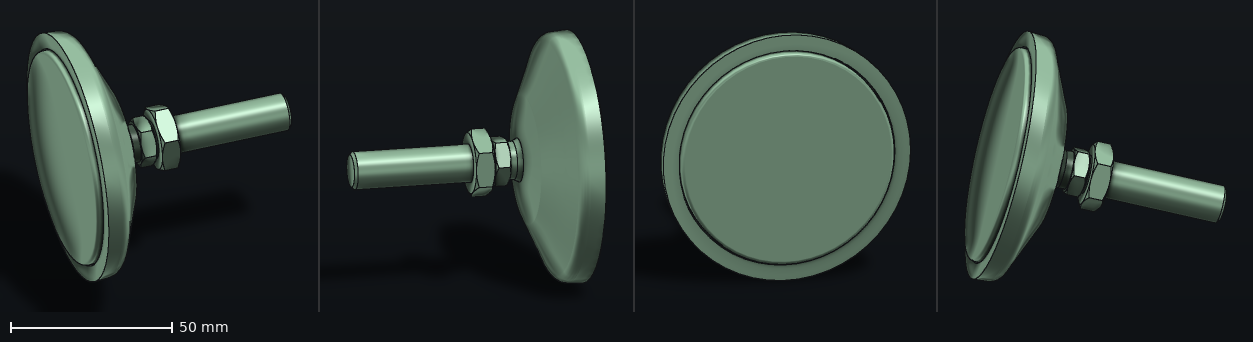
import cadquery as cq
import math

overall_length = 73.7

base_radius = 39.5
base_front = 2.0
rim_back = 6.7
rim_back_radius = 39.2
cone_start = 9.95
cone_start_radius = 36.6
shoulder = 17.8
shoulder_radius = 20.3
shoulder_blend_radius = 1.0
base_back = 20.1

pad_radius = 34.0
pad_edge_radius = 1.0
pad_seat = 3.95
recess_radius = 34.45

stud_radius = 6.0
stud_chamfer = 0.95
stud_seat = 12.0
flare_radius = 6.9
flare_back = 21.7
undercut_radius = 5.6
undercut_back = 29.4
drive_front = 24.0
drive_back = 28.8
drive_flats = 14.0

nut_front = 29.8
nut_thickness = 6.0
nut_flats = 19.0

drive_turn = 0.0
nut_turn = 30.0

hex_chamfer_angle = 30.0


def cylinder(radius, front, back):
    """Cylinder about the Y axis between two Y positions."""
    return cq.Workplane("XZ", origin=(0, front, 0)).circle(radius).extrude(front - back)


def revolve_about_y(outline):
    """Turn a closed (radius, Y) outline about the Y axis."""
    return outline.close().revolve(360, (0, 0, 0), (0, 1, 0))


def chamfered_hexagon(flats, front, thickness, turn):
    """Hexagonal prism along Y with its corners turned off at both ends."""
    corner_radius = flats / math.sqrt(3)
    face_radius = flats / 2
    drop = (corner_radius - face_radius) * math.tan(math.radians(hex_chamfer_angle))
    back = front + thickness
    prism = (
        cq.Workplane("XZ", origin=(0, front, 0))
        .polygon(6, 2 * corner_radius)
        .extrude(-thickness)
        .rotate((0, 0, 0), (0, 1, 0), turn)
    )
    envelope = revolve_about_y(
        cq.Workplane("XY")
        .moveTo(0, front)
        .lineTo(face_radius, front)
        .lineTo(corner_radius, front + drop)
        .lineTo(corner_radius, back - drop)
        .lineTo(face_radius, back)
        .lineTo(0, back)
    )
    return prism.intersect(envelope)


def make_pad():
    """Flat disc with a rounded front edge, seated in the base recess."""
    return cylinder(pad_radius, 0, pad_seat).faces("<Y").edges().fillet(pad_edge_radius)


def make_stud():
    """Threaded stud with a drive hexagon and a flared foot."""
    shank = revolve_about_y(
        cq.Workplane("XY")
        .moveTo(0, stud_seat)
        .lineTo(stud_radius, stud_seat)
        .lineTo(stud_radius, base_back)
        .lineTo(flare_radius, base_back)
        .lineTo(stud_radius, flare_back)
        .lineTo(stud_radius, drive_back)
        .lineTo(undercut_radius, drive_back)
        .lineTo(undercut_radius, undercut_back)
        .lineTo(stud_radius, nut_front)
        .lineTo(stud_radius, overall_length - stud_chamfer)
        .lineTo(stud_radius - stud_chamfer, overall_length)
        .lineTo(0, overall_length)
    )
    drive = chamfered_hexagon(drive_flats, drive_front, drive_back - drive_front, drive_turn)
    return shank.union(drive)


def make_base():
    """Conical foot with a rounded rim, a pad recess and a hole for the stud."""
    body = revolve_about_y(
        cq.Workplane("XY")
        .moveTo(0, base_front)
        .lineTo(base_radius, base_front)
        .lineTo(rim_back_radius, rim_back)
        .tangentArcPoint((cone_start_radius, cone_start), relative=False)
        .lineTo(shoulder_radius, shoulder)
        .lineTo(flare_radius, base_back)
        .lineTo(0, base_back)
    )
    shoulder_edges = [
        edge for edge in body.edges("%CIRCLE").vals()
        if math.isclose(edge.Center().y, shoulder) and math.isclose(edge.radius(), shoulder_radius)
    ]
    body = body.newObject(shoulder_edges).fillet(shoulder_blend_radius)
    recess = cylinder(recess_radius, base_front, pad_seat)
    stud_hole = cylinder(stud_radius, stud_seat, base_back)
    return body.cut(recess).cut(stud_hole)


def make_nut():
    """Hexagonal lock nut bored to fit the stud."""
    blank = chamfered_hexagon(nut_flats, nut_front, nut_thickness, nut_turn)
    return blank.cut(cylinder(stud_radius, nut_front, nut_front + nut_thickness))


pad = make_pad()
base = make_base()
stud = make_stud()
nut = make_nut()

result = cq.Compound.makeCompound([pad.val(), base.val(), stud.val(), nut.val()])